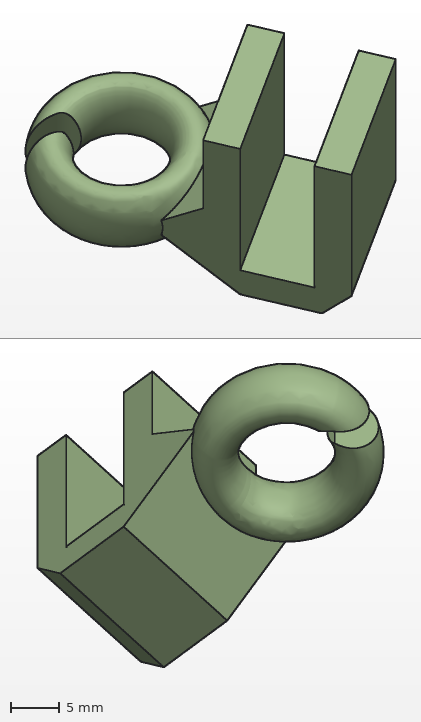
import cadquery as cq
import math


overall_length = 37.0
overall_height = 24.0
ring_diameter = 20.0

wall = 4.0
channel_width = 8.0
bracket_width = 16.0
bracket_offset_y = 0.5
heel_run = 3.2
nose_slope = 0.8

ring_radius = ring_diameter / 2
hole_radius = 5.0
ring_thickness = 8.0
ring_mid_z = 8.0

inner_gap_width = 2.2
outer_gap_width = 2.0
gap_corner_radius = 2.0
gap_bend_x = -6.0
gap_bend_y = -0.75
gap_angle = 45.0

bracket_right = overall_length - ring_radius
channel_right = bracket_right - wall
channel_left = channel_right - channel_width
bracket_left = channel_left - wall


def make_bracket():
    """U profile with a wedge-shaped nose pointing into the ring."""
    tip_x = channel_left - ring_mid_z / nose_slope
    shoulder_z = ring_mid_z + (bracket_left - tip_x) * nose_slope
    outline = [
        (tip_x, ring_mid_z),
        (channel_left, 0),
        (bracket_right - heel_run, 0),
        (bracket_right, wall),
        (bracket_right, overall_height),
        (channel_right, overall_height),
        (channel_right, wall),
        (channel_left, wall),
        (channel_left, overall_height),
        (bracket_left, overall_height),
        (bracket_left, shoulder_z),
    ]
    return (
        cq.Workplane("XZ")
        .polyline(outline)
        .close()
        .extrude(bracket_width / 2, both=True)
        .translate((0, bracket_offset_y, 0))
    )


def make_ring():
    """Ellipse revolved about the vertical axis through the origin."""
    section_centre = (ring_radius + hole_radius) / 2
    section_half_width = (ring_radius - hole_radius) / 2
    return (
        cq.Workplane("XZ")
        .center(section_centre, ring_mid_z)
        .ellipse(section_half_width, ring_thickness / 2)
        .revolve(360, (-section_centre, 0), (-section_centre, 1))
    )


def make_gap():
    """Slot with an inner leg along X and a tilted outer leg, rounded on its outer corner."""
    tilt = math.radians(gap_angle)
    leg_length = ring_radius
    leg_x = -leg_length * math.cos(tilt)
    leg_y = -leg_length * math.sin(tilt)

    far_side_x = gap_bend_x - outer_gap_width * math.sin(tilt)
    far_side_y = gap_bend_y + outer_gap_width * math.cos(tilt)
    corner_y = gap_bend_y + inner_gap_width
    corner_x = far_side_x + (corner_y - far_side_y) / math.tan(tilt)

    outline = [
        (0, gap_bend_y),
        (gap_bend_x, gap_bend_y),
        (gap_bend_x + leg_x, gap_bend_y + leg_y),
        (far_side_x + leg_x, far_side_y + leg_y),
        (corner_x, corner_y),
        (0, corner_y),
    ]
    outer_corner = cq.selectors.NearestToPointSelector((corner_x, corner_y, overall_height / 2))
    return (
        cq.Workplane("XY")
        .polyline(outline)
        .close()
        .extrude(overall_height)
        .edges("|Z")
        .edges(outer_corner)
        .fillet(gap_corner_radius)
    )


split_ring = make_ring().cut(make_gap(), clean=False)
result = make_bracket().union(split_ring, clean=False)